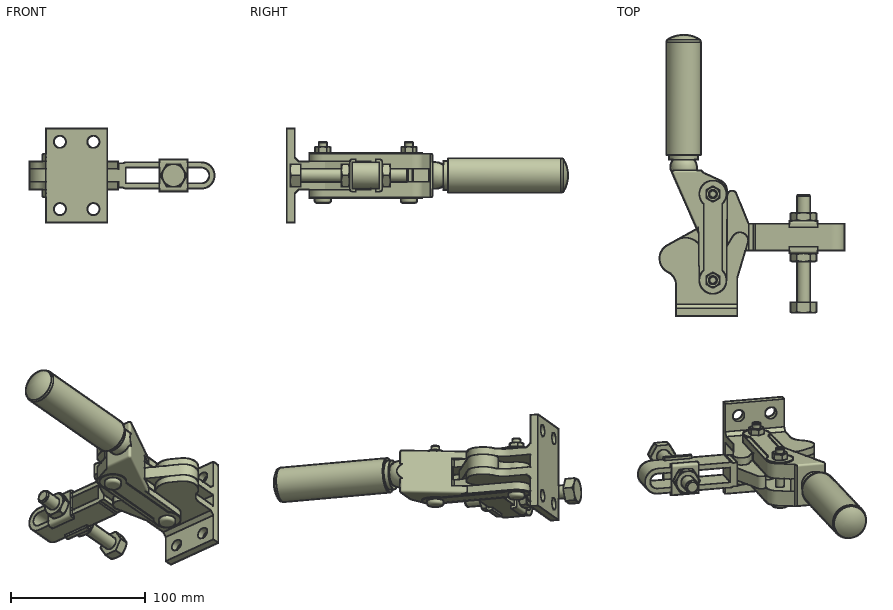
import cadquery as cq
import math


core_half = 4.8
base_half = 10.5
lever_half = 16.3
clear_reach = 104.5

mount_length = 45.5
mount_width = 70.0
mount_thickness = 6.0
mount_chamfer = 3.0
mount_hole_diameter = 8.8
hole_pitch_x = 24.9
hole_pitch_z = 50.0
boss_center = (-23.8, 42.9)
boss_radius = 11.3
hollow_radius = 10.9
hump_center = (-16.0, 45.2)
hump_radius = 13.2
valley_height = 52.7
ear_center = (24.7, 56.3)
ear_radius = 6.0
ear_back_angle = 58
ear_foot_height = 28.5

pin_x = 4.5
lower_pin_y = 26.8
upper_pin_y = 90.8
pin_radius = 3.1
pin_top = 25.0
pin_chamfer = 0.6
pin_nut_flats = 10.0
pin_nut_top = 21.3
pin_head_radius = 6.17
pin_head_bottom = -20.5
pin_head_fillet = 1.9

leg_radius = 10.15
web_top = (-26.5, 108.4)
web_foot = (-6.0, 61.7)
lever_top_right = -4.0
shoulder_radius = 8.5
shoulder_center = (6.7, 93.0)
sheet_thickness = 3.0
fold_radius = 1.7
cheek_bottom = 54.0
notch_top = 72.2
notch_edge_x = -5.6
strap_thickness = 0.6
strap_end_radius = 10.0
strap_neck_half = 7.0

grip_x = -17.2
grip_radius = 13.0
grip_bottom = 119.7
grip_shoulder = 203.8
dome_base = 205.5
dome_base_radius = 12.3
grip_top = 209.2
grip_edge = 0.5
collar_radius = 10.9
collar_bottom = 116.3
ball_y = 110.2
ball_radius = 10.0

link_end_center = (9.0, 67.4)
link_end_radius = 5.9

arm_bottom = 48.7
arm_top = 68.8
arm_half = 9.8
arm_shoulder_half = 9.1
arm_step_x = 31.2
arm_ramp_start = 34.5
arm_ramp_end = 36.0
arm_tip_x = 102.5
slot_start = 36.6
slot_half = 5.75
lug_center = (18.8, 89.7)
lug_radius = 3.5

spindle_x = 72.0
spindle_radius = 5.0
spindle_top = 90.4
spindle_chamfer = 1.0
hex_flats = 17.0
hex_turning_angle = 30
head_bottom = 2.5
head_height = 8.0
nut_height = 6.0
washer_length = 21.0
washer_thickness = 2.0
washer_lip = 2.7
washer_fold = 1.9


def on_circle(center, radius, degrees):
    """Point of a circle at an angle from +X."""
    angle = math.radians(degrees)
    return (center[0] + radius * math.cos(angle), center[1] + radius * math.sin(angle))


def tangent_normal(start, start_radius, end, end_radius):
    """Angle of the normal of the line that touches two circles on the left of start -> end."""
    dx = end[0] - start[0]
    dy = end[1] - start[1]
    heading = math.atan2(dy, dx)
    lean = math.acos((start_radius - end_radius) / math.hypot(dx, dy))
    return math.degrees(heading + lean)


def add_arc(outline, center, radius, first, last):
    """Continue an outline with an arc between two angles; it must already stand on the first."""
    middle = on_circle(center, radius, (first + last) / 2)
    return outline.threePointArc(middle, on_circle(center, radius, last))


def slab(outline, bottom, top):
    """Solid of a closed XY outline between two Z levels."""
    return outline.extrude(top - bottom).translate((0, 0, bottom))


def block(x_range, y_range, half_z):
    """Box over X and Y ranges, centred on the mid-plane."""
    return cq.Workplane("XY").box(
        x_range[1] - x_range[0], y_range[1] - y_range[0], 2 * half_z, centered=(False, False, True)
    ).translate((x_range[0], y_range[0], 0))


def rod_z(x, y, radius, bottom, top):
    return slab(cq.Workplane("XY").center(x, y).circle(radius), bottom, top)


def rod_y(x, radius, bottom, top):
    return cq.Workplane("XZ", origin=(x, bottom, 0)).circle(radius).extrude(bottom - top)


def hexagon(flats, height, both_ends):
    """Hexagon on the XY plane, corners along X, with its corners turned off at the top or at both ends."""
    corner_radius = flats / math.sqrt(3)
    face_radius = flats / 2
    turned_height = (corner_radius - face_radius) * math.tan(math.radians(hex_turning_angle))

    turned = cq.Workplane("XZ").moveTo(0, 0)
    if both_ends:
        turned = turned.lineTo(face_radius, 0).lineTo(corner_radius, turned_height)
    else:
        turned = turned.lineTo(corner_radius, 0)
    turned = turned.lineTo(corner_radius, height - turned_height).lineTo(face_radius, height)
    turned = turned.lineTo(0, height).close().revolve(360, (0, 0, 0), (0, 1, 0))
    return cq.Workplane("XY").polygon(6, 2 * corner_radius).extrude(height).intersect(turned)


def base_plate_outline():
    back_x = -mount_length / 2
    front_x = mount_length / 2

    hollow_x = back_x - hollow_radius
    reach = boss_radius + hollow_radius
    hollow_drop = math.sqrt(reach**2 - (boss_center[0] - hollow_x) ** 2)
    hollow_center = (hollow_x, boss_center[1] - hollow_drop)
    blend = math.degrees(math.atan2(hollow_drop, boss_center[0] - hollow_x))

    back_slope = tangent_normal(boss_center, boss_radius, hump_center, hump_radius)
    hump_end = math.degrees(math.asin((valley_height - hump_center[1]) / hump_radius))

    ear_start = ear_back_angle + 90
    ear_top = on_circle(ear_center, ear_radius, ear_start)
    flank_run = (ear_top[1] - valley_height) / math.tan(math.radians(ear_back_angle))
    foot = (front_x, ear_foot_height)
    ear_end = tangent_normal(ear_center, ear_radius, foot, 0)

    outline = cq.Workplane("XY").moveTo(back_x, 0).lineTo(back_x, hollow_center[1])
    outline = add_arc(outline, hollow_center, hollow_radius, 0, blend)
    outline = add_arc(outline, boss_center, boss_radius, blend + 180, back_slope)
    outline = outline.lineTo(*on_circle(hump_center, hump_radius, back_slope))
    outline = add_arc(outline, hump_center, hump_radius, back_slope, hump_end)
    outline = outline.lineTo(ear_top[0] - flank_run, valley_height).lineTo(*ear_top)
    outline = add_arc(outline, ear_center, ear_radius, ear_start, ear_end)
    return outline.lineTo(*foot).lineTo(front_x, 0).close()


def make_base():
    base = block((-mount_length / 2, mount_length / 2), (0, mount_thickness), mount_width / 2)
    base = base.union(slab(base_plate_outline(), -base_half, base_half))

    for side in (-1, 1):
        corner = (0, mount_thickness, side * base_half)
        base = base.edges(cq.selectors.NearestToPointSelector(corner)).chamfer(mount_chamfer)

    base = base.cut(block((-clear_reach, clear_reach), (mount_thickness, clear_reach), core_half))

    for x in (-hole_pitch_x / 2, hole_pitch_x / 2):
        for z in (-hole_pitch_z / 2, hole_pitch_z / 2):
            hole = rod_y(x, mount_hole_diameter / 2, 0, mount_thickness)
            base = base.cut(hole.translate((0, 0, z)))
    return base.cut(rod_z(pin_x, lower_pin_y, pin_radius, -base_half, base_half))


def make_link():
    eye_center = (pin_x, lower_pin_y)
    upper = tangent_normal(boss_center, boss_radius, link_end_center, link_end_radius)
    front = tangent_normal(link_end_center, link_end_radius, eye_center, leg_radius)

    run = eye_center[0] - leg_radius - boss_center[0]
    drop = boss_center[1] - eye_center[1]
    blend_radius = (run**2 + drop**2 - boss_radius**2) / (2 * (boss_radius + run))
    blend_center = (eye_center[0] - leg_radius - blend_radius, eye_center[1])
    blend = math.degrees(math.atan2(drop, boss_center[0] - blend_center[0]))

    outline = cq.Workplane("XY").moveTo(*on_circle(boss_center, boss_radius, upper))
    outline = outline.lineTo(*on_circle(link_end_center, link_end_radius, upper))
    outline = add_arc(outline, link_end_center, link_end_radius, upper, front)
    outline = outline.lineTo(*on_circle(eye_center, leg_radius, front))
    outline = add_arc(outline, eye_center, leg_radius, front, -180)
    outline = add_arc(outline, blend_center, blend_radius, 0, blend)
    outline = add_arc(outline, boss_center, boss_radius, blend + 180, upper).close()
    link = slab(outline, -core_half, core_half)
    return link.cut(rod_z(pin_x, lower_pin_y, pin_radius, -core_half, core_half))


def web_x(y):
    """X of the lever's sloping back face at a height."""
    slope = (web_foot[0] - web_top[0]) / (web_foot[1] - web_top[1])
    return web_top[0] + slope * (y - web_top[1])


def lever_outline():
    leg_center = (pin_x, lower_pin_y)
    corner = (lever_top_right + fold_radius, web_top[1] - fold_radius)
    shoulder_start = tangent_normal(corner, 0, shoulder_center, shoulder_radius)
    front = tangent_normal(shoulder_center, shoulder_radius, leg_center, leg_radius)

    outline = cq.Workplane("XY").moveTo(*web_top).lineTo(lever_top_right, web_top[1]).lineTo(*corner)
    outline = outline.lineTo(*on_circle(shoulder_center, shoulder_radius, shoulder_start))
    outline = add_arc(outline, shoulder_center, shoulder_radius, shoulder_start, front)
    outline = outline.lineTo(*on_circle(leg_center, leg_radius, front))
    outline = add_arc(outline, leg_center, leg_radius, front, -180)
    return outline.lineTo(*web_foot).close()


def make_lever_body():
    lever = slab(lever_outline(), -lever_half, lever_half)

    web_middle = ((web_top[0] + web_foot[0]) / 2, (web_top[1] + web_foot[1]) / 2)
    top_middle = ((web_top[0] + lever_top_right) / 2, web_top[1])
    folds = cq.selectors.NearestToPointSelector((*web_top, 0))
    for side in (-lever_half, lever_half):
        folds = folds + cq.selectors.NearestToPointSelector((*web_middle, side))
        folds = folds + cq.selectors.NearestToPointSelector((*top_middle, side))
    lever = lever.edges(folds).fillet(fold_radius)

    web_rise = web_top[1] - web_foot[1]
    web_run = web_foot[0] - web_top[0]
    wall = sheet_thickness * math.hypot(web_run, web_rise) / web_rise
    ceiling = web_top[1] - sheet_thickness
    channel = cq.Workplane("XY").polyline([
        (web_x(ceiling) + wall, ceiling),
        (clear_reach, ceiling),
        (clear_reach, 0),
        (web_x(notch_top) + wall, 0),
        (web_x(notch_top) + wall, notch_top),
    ]).close()
    lever = lever.cut(slab(channel, -core_half, core_half))

    lever = lever.cut(block((-clear_reach, clear_reach), (0, cheek_bottom), base_half))
    return lever.cut(block((-clear_reach, notch_edge_x), (0, notch_top), base_half))


def make_strap():
    """Raised strap between the two pivots, on the +Z side of the lever."""
    bottom = lever_half
    top = lever_half + strap_thickness
    middle_y = (lower_pin_y + upper_pin_y) / 2
    neck = cq.Workplane("XY").center(pin_x, middle_y).rect(2 * strap_neck_half, upper_pin_y - lower_pin_y)
    strap = slab(neck, bottom, top)
    for y in (lower_pin_y, upper_pin_y):
        strap = strap.union(rod_z(pin_x, y, strap_end_radius, bottom, top))
    return strap


def make_pivot_bolt(y):
    strap_face = lever_half + strap_thickness
    bolt = rod_z(pin_x, y, pin_radius, -strap_face, pin_top).faces(">Z").edges().chamfer(pin_chamfer)
    head = rod_z(pin_x, y, pin_head_radius, pin_head_bottom, -strap_face)
    head = head.faces("<Z").edges().fillet(pin_head_fillet)
    nut = hexagon(pin_nut_flats, pin_nut_top - strap_face, False)
    nut = nut.rotate((0, 0, 0), (0, 0, 1), 90).translate((pin_x, y, strap_face))
    return bolt.union(head).union(nut)


def make_handle():
    """Turned grip with its collar and the ball that sits on the lever's top."""
    socket = web_top[1] - sheet_thickness
    ball_rise = collar_bottom - ball_y
    ball_angle = math.degrees(math.asin(ball_rise / ball_radius))
    ball_middle = on_circle((0, ball_y), ball_radius, ball_angle / 2)
    ball_end = on_circle((0, ball_y), ball_radius, ball_angle)

    dome_rise = grip_top - dome_base
    dome_radius = (dome_base_radius**2 + dome_rise**2) / (2 * dome_rise)
    dome_half_angle = math.degrees(math.asin(dome_base_radius / dome_radius))
    dome_middle = on_circle((0, grip_top - dome_radius), dome_radius, 90 - dome_half_angle / 2)

    profile = (
        cq.Workplane("XY")
        .moveTo(0, socket)
        .lineTo(ball_radius, socket)
        .lineTo(ball_radius, ball_y)
        .threePointArc(ball_middle, ball_end)
        .lineTo(collar_radius, collar_bottom)
        .lineTo(collar_radius, grip_bottom)
        .lineTo(grip_radius - grip_edge, grip_bottom)
        .lineTo(grip_radius, grip_bottom + grip_edge)
        .lineTo(grip_radius, grip_shoulder)
        .lineTo(dome_base_radius, dome_base)
        .threePointArc(dome_middle, (0, grip_top))
        .close()
    )
    handle = profile.revolve(360, (0, 0, 0), (0, 1, 0)).translate((grip_x, 0, 0))

    behind = cq.Workplane("XY").polyline([
        (web_x(0), 0),
        (web_x(ball_y), ball_y),
        (web_x(ball_y) - grip_radius, ball_y),
        (web_x(ball_y) - grip_radius, 0),
    ]).close()
    return handle.cut(slab(behind, -grip_radius, grip_radius))


def make_lever():
    strap = make_strap()
    lever = make_lever_body().union(strap).union(strap.mirror("XY")).union(make_handle())
    for y in (lower_pin_y, upper_pin_y):
        lever = lever.union(make_pivot_bolt(y))
    return lever


def make_arm():
    tip_center_x = arm_tip_x - arm_half
    plan = (
        cq.Workplane("XZ", origin=(0, arm_bottom, 0))
        .moveTo(arm_step_x, arm_shoulder_half)
        .lineTo(arm_ramp_start, arm_shoulder_half)
        .lineTo(arm_ramp_end, arm_half)
        .lineTo(tip_center_x, arm_half)
        .threePointArc((arm_tip_x, 0), (tip_center_x, -arm_half))
        .lineTo(arm_ramp_end, -arm_half)
        .lineTo(arm_ramp_start, -arm_shoulder_half)
        .lineTo(arm_step_x, -arm_shoulder_half)
        .close()
    )
    arm = plan.extrude(arm_bottom - arm_top)

    slot = block((slot_start, tip_center_x), (arm_bottom, arm_top), slot_half)
    arm = arm.cut(slot).cut(rod_y(tip_center_x, slot_half, arm_bottom, arm_top))

    lug_end = tangent_normal(lug_center, lug_radius, (arm_step_x, arm_top), 0)
    lug_back = lug_center[0] - lug_radius
    lug = cq.Workplane("XY").moveTo(lug_back, arm_bottom).lineTo(lug_back, lug_center[1])
    lug = add_arc(lug, lug_center, lug_radius, 180, lug_end)
    lug = lug.lineTo(arm_step_x, arm_top).lineTo(arm_step_x, arm_bottom).close()
    return arm.union(slab(lug, -core_half, core_half))


def make_spindle():
    spindle = rod_y(spindle_x, spindle_radius, head_bottom + head_height, spindle_top)
    spindle = spindle.faces(">Y").edges().chamfer(spindle_chamfer)

    seats = [
        (head_bottom + head_height, head_height, -1, False),
        (arm_bottom - washer_thickness, nut_height, -1, True),
        (arm_top + washer_thickness, nut_height, 1, True),
    ]
    for seat, height, facing, both_ends in seats:
        piece = hexagon(hex_flats, height, both_ends).rotate((0, 0, 0), (1, 0, 0), -90 * facing)
        spindle = spindle.union(piece.translate((spindle_x, seat, 0)))
    return spindle


def make_washer():
    """Washer that straddles the top of the arm."""
    x_range = (spindle_x - washer_length / 2, spindle_x + washer_length / 2)
    outer_half = arm_half + washer_thickness
    washer = block(x_range, (arm_top - washer_lip, arm_top + washer_thickness), outer_half)
    washer = washer.faces(">Y").edges("|X").fillet(washer_fold)
    washer = washer.cut(block(x_range, (arm_top - washer_lip, arm_top), arm_half))
    return washer.cut(rod_y(spindle_x, spindle_radius, arm_top, arm_top + washer_thickness))


base = make_base()
link = make_link()
lever = make_lever()
arm = make_arm()
spindle = make_spindle()

upper_washer = make_washer()
lower_washer = upper_washer.mirror("XZ", (0, (arm_bottom + arm_top) / 2, 0))
washers = [upper_washer, lower_washer]

result = cq.Compound.makeCompound([
    base.val(),
    link.val(),
    lever.val(),
    arm.val(),
    spindle.val(),
    *[washer.val() for washer in washers],
])